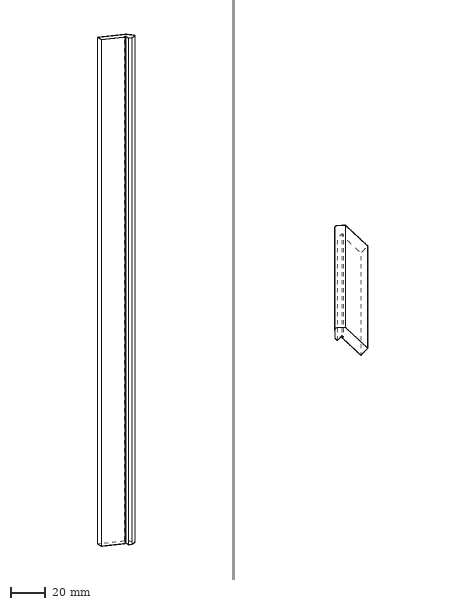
import cadquery as cq
import math

length = 304.8
width = 8.8
depth = 21.5

stem_width = 5.8
head_height = 5.8
peak_x = width / 2
tip_radius = 1.5
relief = 1.0

sharp_peak = depth + tip_radius * (math.sqrt(2) - 1)
back_slope_start = sharp_peak - peak_x
lip_top = sharp_peak - (width - peak_x)
tangent_offset = tip_radius / math.sqrt(2)
tangent_y = sharp_peak - tangent_offset

lip_bottom = depth - head_height
neck_x = stem_width - relief
relief_start = lip_bottom - relief

profile = (
    cq.Workplane("XY")
    .moveTo(0, 0)
    .lineTo(stem_width, 0)
    .lineTo(stem_width, relief_start)
    .lineTo(neck_x, relief_start)
    .lineTo(neck_x, lip_bottom)
    .lineTo(width, lip_bottom)
    .lineTo(width, lip_top)
    .lineTo(peak_x + tangent_offset, tangent_y)
    .threePointArc((peak_x, depth), (peak_x - tangent_offset, tangent_y))
    .lineTo(0, back_slope_start)
    .close()
)

result = profile.extrude(length)